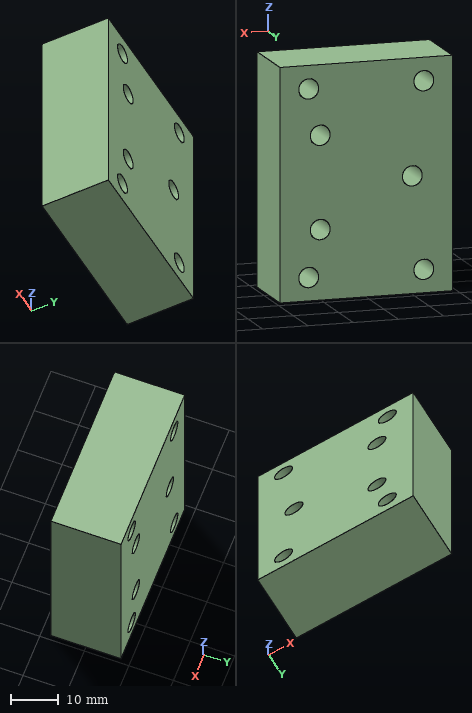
import cadquery as cq

width = 38.1
thickness = 15.8
height = 50.8

hole_diameter = 4.35
corner_edge_margin_x = 6.35
corner_edge_margin_z = 5.1
corner_x = width / 2 - corner_edge_margin_x
corner_z = height / 2 - corner_edge_margin_z

inner_offset = 10.15

corner_holes = [(x, z) for x in (-corner_x, corner_x) for z in (-corner_z, corner_z)]
inner_holes = [
    (inner_offset, inner_offset),
    (inner_offset, -inner_offset),
    (-inner_offset, 0),
]

block = cq.Workplane("XY").box(width, thickness, height)

result = (
    block.faces("<Y")
    .workplane(centerOption="CenterOfBoundBox")
    .pushPoints(corner_holes + inner_holes)
    .hole(hole_diameter)
)